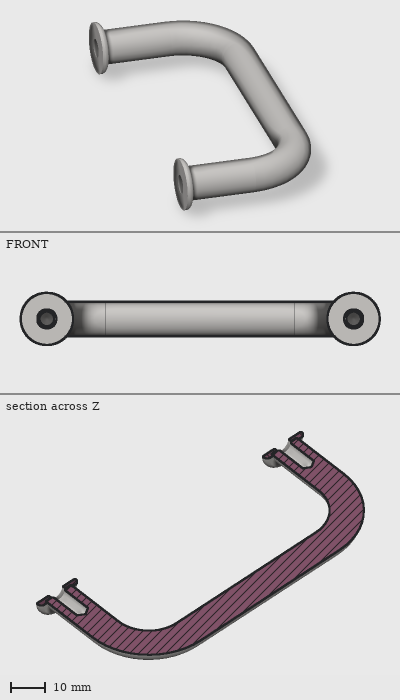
import cadquery as cq
import math

overall_length = 103.0
overall_depth = 43.0
flange_diameter = 15.0
leg_spacing = overall_length - flange_diameter

bar_diameter = 10.0
bend_radius = 16.9

flange_thickness = 2.0
rim_height = 1.1
rim_inset = 1.0
rim_arc_radius = 1.8
flange_hole_diameter = 5.5
seat_depth = 0.9

screw_hole_diameter = 4.2
countersink_depth = 0.6
screw_hole_depth = 10.3
drill_tip_angle = 118.0

leg_x = leg_spacing / 2
bar_end_y = flange_thickness - seat_depth
leg_positions = (-leg_x, leg_x)
grip_y = overall_depth - bar_diameter / 2
bend_start_y = grip_y - bend_radius
bend_end_x = leg_x - bend_radius


def cylinder_along_y(x, start_y, diameter, length):
    """Cylinder that starts at start_y and runs towards +Y."""
    base = cq.Workplane("XZ", origin=(x, start_y, 0))
    return base.circle(diameter / 2).extrude(-length)


def make_screw_hole(x):
    """Countersunk hole shape with a conical tip, starting at the bar end."""
    radius = screw_hole_diameter / 2
    tip_length = radius / math.tan(math.radians(drill_tip_angle / 2))
    wall_end_y = bar_end_y + screw_hole_depth
    profile = (
        cq.Workplane("XY", origin=(x, 0, 0))
        .moveTo(0, bar_end_y)
        .lineTo(radius + countersink_depth, bar_end_y)
        .lineTo(radius, bar_end_y + countersink_depth)
        .lineTo(radius, wall_end_y)
        .lineTo(0, wall_end_y + tip_length)
        .close()
    )
    return profile.revolve(360, (0, 0, 0), (0, 1, 0))


def make_handle():
    """Round bar bent into a U, with a screw hole in each end."""
    centreline = (
        cq.Workplane("XY")
        .moveTo(-leg_x, bar_end_y)
        .lineTo(-leg_x, bend_start_y)
        .radiusArc((-bend_end_x, grip_y), bend_radius)
        .lineTo(bend_end_x, grip_y)
        .radiusArc((leg_x, bend_start_y), bend_radius)
        .lineTo(leg_x, bar_end_y)
    )
    bar_end = cq.Workplane("XZ", origin=(-leg_x, bar_end_y, 0))
    handle = bar_end.circle(bar_diameter / 2).sweep(centreline)
    for x in leg_positions:
        handle = handle.cut(make_screw_hole(x))
    return handle


def make_flange(x):
    """Disc with a crowned rim, a clearance hole and a seat for the bar end."""
    outer_radius = flange_diameter / 2
    profile = (
        cq.Workplane("XY", origin=(x, 0, 0))
        .lineTo(outer_radius, 0)
        .lineTo(outer_radius, flange_thickness - rim_height)
        .radiusArc((outer_radius - rim_inset, flange_thickness), -rim_arc_radius)
        .lineTo(0, flange_thickness)
        .close()
    )
    disc = profile.revolve(360, (0, 0, 0), (0, 1, 0))
    clearance_hole = cylinder_along_y(x, 0, flange_hole_diameter, flange_thickness)
    seat = cylinder_along_y(x, bar_end_y, bar_diameter, seat_depth)
    return disc.cut(clearance_hole).cut(seat)


handle = make_handle()
flanges = [make_flange(x) for x in leg_positions]

result = cq.Compound.makeCompound([handle.val(), *[flange.val() for flange in flanges]])